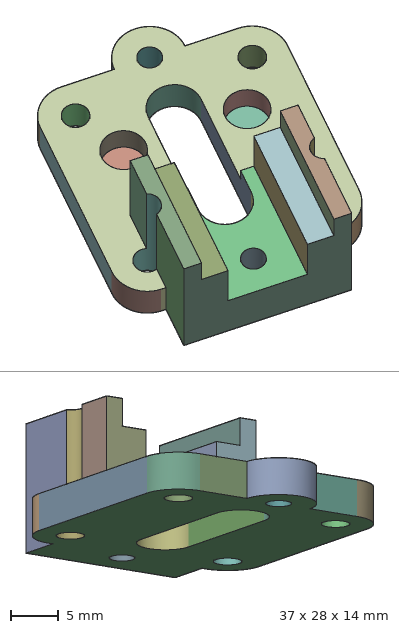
import cadquery as cq

total_length = 37.0
plate_width = 28.0
plate_thickness = 4.0
corner_radius = 4.0
ear_radius = corner_radius
plate_left = ear_radius
plate_center_x = plate_left + plate_width / 2

mount_hole_diameter = 3.0
mount_hole_spacing = plate_width - 2 * corner_radius
axis_hole_diameter = 2.7
axis_hole_inset = 4.0
slot_length = mount_hole_spacing
slot_width = 6.0
pocket_diameter = 5.0
pocket_depth = 3.0
pocket_x = 14.0
pocket_spacing = 14.0

block_height = 14.0
block_length = 15.0
block_width = 19.0
channel_floor = 5.5
channel_width = 9.0
step_floor = 11.0
step_width = 15.0
block_center_x = total_length - block_length / 2


def upright_box(center_x, length, width, bottom, top):
    """Box centred on the X axis between two heights."""
    box = cq.Workplane("XY").box(length, width, top - bottom, centered=(True, True, False))
    return box.translate((center_x, 0, bottom))


def make_base():
    plate = upright_box(plate_center_x, plate_width, plate_width, 0, plate_thickness)
    plate = plate.edges("|Z").fillet(corner_radius)
    ear = cq.Workplane("XY").center(plate_left, 0).circle(ear_radius).extrude(plate_thickness)
    return plate.union(ear)


def make_block():
    block = upright_box(block_center_x, block_length, block_width, 0, block_height)
    channel = upright_box(block_center_x, block_length, channel_width, channel_floor, block_height)
    step = upright_box(block_center_x, block_length, step_width, step_floor, block_height)
    return block.cut(channel).cut(step)


def make_through_cuts():
    """Corner holes, the two holes on the X axis and the central slot."""
    corner_holes = (
        cq.Workplane("XY")
        .center(plate_center_x, 0)
        .rect(mount_hole_spacing, mount_hole_spacing, forConstruction=True)
        .vertices()
        .circle(mount_hole_diameter / 2)
        .extrude(block_height)
    )
    axis_holes = (
        cq.Workplane("XY")
        .pushPoints([(plate_left, 0), (total_length - axis_hole_inset, 0)])
        .circle(axis_hole_diameter / 2)
        .extrude(block_height)
    )
    slot = (
        cq.Workplane("XY")
        .center(plate_center_x, 0)
        .slot2D(slot_length, slot_width)
        .extrude(block_height)
    )
    return corner_holes.union(axis_holes).union(slot)


def make_pockets():
    """Two blind round pockets open to the top of the plate."""
    return (
        cq.Workplane("XY", origin=(0, 0, plate_thickness - pocket_depth))
        .pushPoints([(pocket_x, -pocket_spacing / 2), (pocket_x, pocket_spacing / 2)])
        .circle(pocket_diameter / 2)
        .extrude(pocket_depth)
    )


result = make_base().union(make_block()).cut(make_through_cuts()).cut(make_pockets())